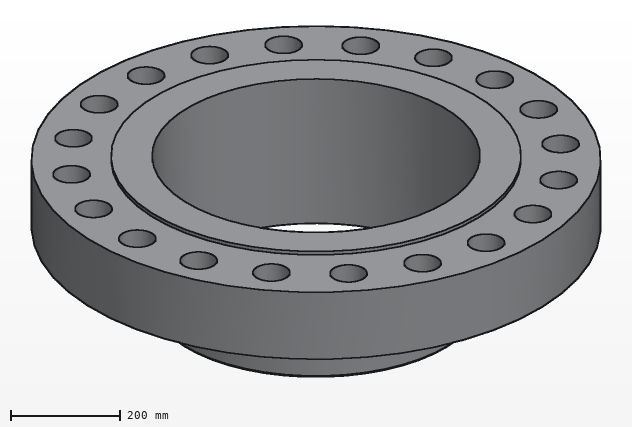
import cadquery as cq

flange_diameter = 1041.0
total_height = 299.0
bore_diameter = 600.0

raised_face_diameter = 750.0
raised_face_height = 7.0
flange_thickness = 139.0

cone_top_diameter = 750.0
neck_diameter = 612.0
neck_length = 52.0
end_bevel = 5.0

bolt_count = 20
bolt_circle_diameter = 902.0
bolt_hole_diameter = 68.0

flange_top = total_height - raised_face_height
flange_bottom = flange_top - flange_thickness
bore_radius = bore_diameter / 2
flange_radius = flange_diameter / 2
raised_face_radius = raised_face_diameter / 2
cone_top_radius = cone_top_diameter / 2
neck_radius = neck_diameter / 2


def make_body():
    """Revolve the ring's half section, drawn as radius and height, about Z."""
    section = [
        (bore_radius, 0),
        (neck_radius - end_bevel, 0),
        (neck_radius, end_bevel),
        (neck_radius, neck_length),
        (cone_top_radius, flange_bottom),
        (flange_radius, flange_bottom),
        (flange_radius, flange_top),
        (raised_face_radius, flange_top),
        (raised_face_radius, total_height),
        (bore_radius, total_height),
    ]
    return cq.Workplane("XZ").polyline(section).close().revolve(360, (0, 0), (0, 1))


def make_bolt_holes():
    """Cylinders through the flange plate, evenly spaced on the bolt circle."""
    half_pitch = 180 / bolt_count
    return (
        cq.Workplane("XY")
        .workplane(offset=flange_bottom)
        .polarArray(bolt_circle_diameter / 2, half_pitch, 360, bolt_count)
        .circle(bolt_hole_diameter / 2)
        .extrude(flange_thickness)
    )


result = make_body().cut(make_bolt_holes())